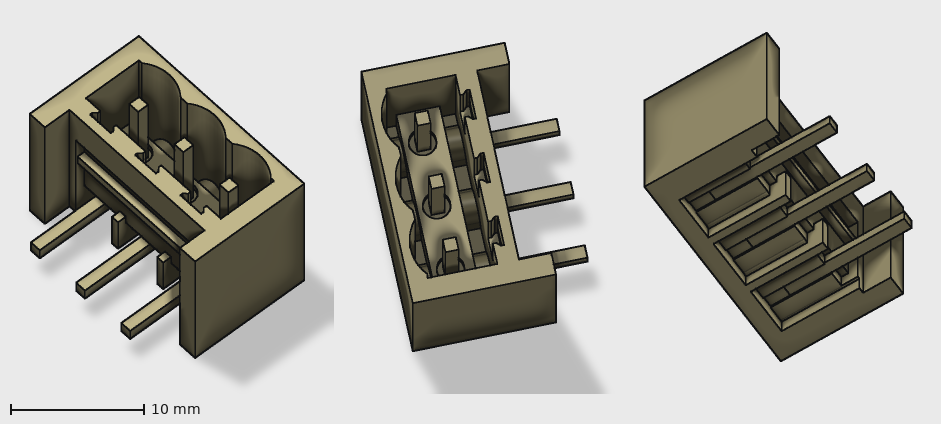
import cadquery as cq
import math

WIDTH = 18.64
DEPTH = 11.0
HEIGHT = 12.0

POLE_COUNT = 3
PITCH = 5.09
POLE_X = [(i - (POLE_COUNT - 1) / 2) * PITCH for i in range(POLE_COUNT)]
GAP_X = [(a + b) / 2 for a, b in zip(POLE_X, POLE_X[1:])]

PIN_SIZE = 1.0
PIN_Y = -3.8
PIN_TIP_Y = -14.2
PIN_AXIS_Z = 2.01
PIN_TOP_Z = 11.02

SIDE_WALL = 1.71
BACK_WALL = 1.53
FRONT_WALL_INNER_Y = -6.86
FRONT_WALL_OUTER_Y = -8.52
CAVITY_WIDTH = WIDTH - 2 * SIDE_WALL

SCALLOP_CREST_Y = -0.73
SCALLOP_HALF_WIDTH = 2.18

SLEEVE_RADIUS = 1.51
SLEEVE_SLOPE = math.radians(58)
SLEEVE_HALF_WIDTH = 1.6
SLEEVE_APEX = SLEEVE_RADIUS / math.cos(SLEEVE_SLOPE)
FLOOR_Z = PIN_AXIS_Z + SLEEVE_APEX - SLEEVE_HALF_WIDTH * math.tan(SLEEVE_SLOPE)
SHELF_BACK_Y = -2.31
SHELF_FRONT_Y = -5.65
SHELF_TOP_Z = 5.0
SOCKET_DIAMETER = 2.09
SOCKET_DEPTH = 0.5

GROOVE_NECK_WIDTH = 1.77
GROOVE_WIDTH = 2.33
GROOVE_NECK_Y = -7.12
GROOVE_FLARE_Y = -7.42
GROOVE_FLOOR_Z = 7.87

RECESS_WIDTH = 13.77
RECESS_Y = -7.66
RECESS_TOP_Z = 8.9
LEDGE_Y = -7.05
LEDGE_TOP_Z = 2.54
RAIL_Y = -8.35
RAIL_TOP_Z = 6.75
RAIL_BOTTOM_Z = 5.96

CHANNEL_TOP_Z = 1.32
CHANNEL_SHOULDER_Z = 1.2
CHANNEL_FLAT_HALF_WIDTH = 1.85
RIB_WIDTH = 0.69
RIB_TOP_Z = 3.3
RIB_FRONT_Y = -8.46
CHANNEL_END_X = 7.1


def box(x0, x1, y0, y1, z0, z1):
    """Box spanning the given limits."""
    return cq.Workplane("XY").box(x1 - x0, y1 - y0, z1 - z0, centered=False).translate((x0, y0, z0))


def wide_box(width, y0, y1, z0, z1):
    """Box centred on X = 0."""
    return box(-width / 2, width / 2, y0, y1, z0, z1)


def make_pin(x):
    """Square pin bent at a right angle: one leg up, one leg forward."""
    half = PIN_SIZE / 2
    bottom = PIN_AXIS_Z - half
    upright = box(x - half, x + half, PIN_Y - half, PIN_Y + half, bottom, PIN_TOP_Z)
    tail = box(x - half, x + half, PIN_TIP_Y, PIN_Y + half, bottom, PIN_AXIS_Z + half)
    return upright.union(tail)


def make_sleeve(x):
    """Rounded cover over the tail of a pin: an arc flanked by tangent slopes."""
    arc_x = SLEEVE_RADIUS * math.sin(SLEEVE_SLOPE)
    arc_z = PIN_AXIS_Z + SLEEVE_RADIUS * math.cos(SLEEVE_SLOPE)
    return (
        cq.Workplane("XZ", origin=(x, 0, 0))
        .moveTo(-SLEEVE_HALF_WIDTH, CHANNEL_TOP_Z)
        .lineTo(-SLEEVE_HALF_WIDTH, FLOOR_Z)
        .lineTo(-arc_x, arc_z)
        .threePointArc((0, PIN_AXIS_Z + SLEEVE_RADIUS), (arc_x, arc_z))
        .lineTo(SLEEVE_HALF_WIDTH, FLOOR_Z)
        .lineTo(SLEEVE_HALF_WIDTH, CHANNEL_TOP_Z)
        .close()
        .extrude(-FRONT_WALL_INNER_Y)
    )


def make_scallop(x):
    """Upright arc-shaped hollow in the back wall."""
    return (
        cq.Workplane("XY", origin=(x, 0, FLOOR_Z))
        .moveTo(-SCALLOP_HALF_WIDTH, -BACK_WALL)
        .threePointArc((0, SCALLOP_CREST_Y), (SCALLOP_HALF_WIDTH, -BACK_WALL))
        .close()
        .extrude(HEIGHT - FLOOR_Z)
    )


def make_groove(x):
    """Dovetail keying groove, open at the top."""
    neck = GROOVE_NECK_WIDTH / 2
    deep = GROOVE_WIDTH / 2
    right_side = [
        (neck, FRONT_WALL_INNER_Y),
        (neck, GROOVE_NECK_Y),
        (deep, GROOVE_FLARE_Y),
        (deep, RECESS_Y),
    ]
    left_side = [(-px, py) for px, py in reversed(right_side)]
    return (
        cq.Workplane("XY", origin=(x, 0, GROOVE_FLOOR_Z))
        .polyline(right_side + left_side)
        .close()
        .extrude(HEIGHT - GROOVE_FLOOR_Z)
    )


def make_channel(x):
    """Passage below a pin with eased upper corners, open at the bottom and the front."""
    half = (PITCH - RIB_WIDTH) / 2
    run = half - CHANNEL_FLAT_HALF_WIDTH
    drop = CHANNEL_TOP_Z - CHANNEL_SHOULDER_Z
    radius = (run**2 + drop**2) / (2 * drop)
    mid_angle = math.asin(run / radius) / 2
    mid_x = CHANNEL_FLAT_HALF_WIDTH + radius * math.sin(mid_angle)
    mid_z = CHANNEL_TOP_Z - radius * (1 - math.cos(mid_angle))
    return (
        cq.Workplane("XZ", origin=(x, -BACK_WALL, 0))
        .moveTo(-half, 0)
        .lineTo(-half, CHANNEL_SHOULDER_Z)
        .threePointArc((-mid_x, mid_z), (-CHANNEL_FLAT_HALF_WIDTH, CHANNEL_TOP_Z))
        .lineTo(CHANNEL_FLAT_HALF_WIDTH, CHANNEL_TOP_Z)
        .threePointArc((mid_x, mid_z), (half, CHANNEL_SHOULDER_Z))
        .lineTo(half, 0)
        .close()
        .extrude(-BACK_WALL - FRONT_WALL_OUTER_Y)
    )


def make_housing():
    body = wide_box(WIDTH, -DEPTH, 0, 0, HEIGHT)
    body = body.cut(wide_box(CAVITY_WIDTH, -DEPTH, FRONT_WALL_OUTER_Y, 0, HEIGHT))

    body = body.cut(wide_box(CAVITY_WIDTH, FRONT_WALL_INNER_Y, -BACK_WALL, FLOOR_Z, HEIGHT))
    for x in POLE_X:
        body = body.cut(make_scallop(x))
        body = body.cut(make_groove(x))

    body = body.union(wide_box(CAVITY_WIDTH, SHELF_FRONT_Y, SHELF_BACK_Y, CHANNEL_TOP_Z, SHELF_TOP_Z))
    for x in POLE_X:
        body = body.union(make_sleeve(x))
    sockets = (
        cq.Workplane("XY", origin=(0, 0, SHELF_TOP_Z - SOCKET_DEPTH))
        .pushPoints([(x, PIN_Y) for x in POLE_X])
        .circle(SOCKET_DIAMETER / 2)
        .extrude(SOCKET_DEPTH)
    )
    body = body.cut(sockets)

    body = body.cut(wide_box(RECESS_WIDTH, FRONT_WALL_OUTER_Y, RECESS_Y, 0, RECESS_TOP_Z))
    body = body.cut(wide_box(RECESS_WIDTH, FRONT_WALL_OUTER_Y, LEDGE_Y, 0, LEDGE_TOP_Z))
    body = body.union(wide_box(RECESS_WIDTH, RAIL_Y, RECESS_Y, RAIL_BOTTOM_Z, RAIL_TOP_Z))

    limit = box(-RECESS_WIDTH / 2, CHANNEL_END_X, -DEPTH, 0, 0, HEIGHT)
    for x in POLE_X:
        body = body.cut(make_channel(x).intersect(limit))

    half_rib = RIB_WIDTH / 2
    for x in GAP_X:
        body = body.union(box(x - half_rib, x + half_rib, RIB_FRONT_Y, LEDGE_Y, 0, RIB_TOP_Z))

    half_pin = PIN_SIZE / 2
    slot_top = PIN_AXIS_Z - half_pin
    for x in POLE_X:
        body = body.cut(make_pin(x))
        body = body.cut(box(x - half_pin, x + half_pin, FRONT_WALL_OUTER_Y, -BACK_WALL, 0, slot_top))
    return body


housing = make_housing()
pins = [make_pin(x) for x in POLE_X]

result = cq.Compound.makeCompound([housing.val(), *[pin.val() for pin in pins]])